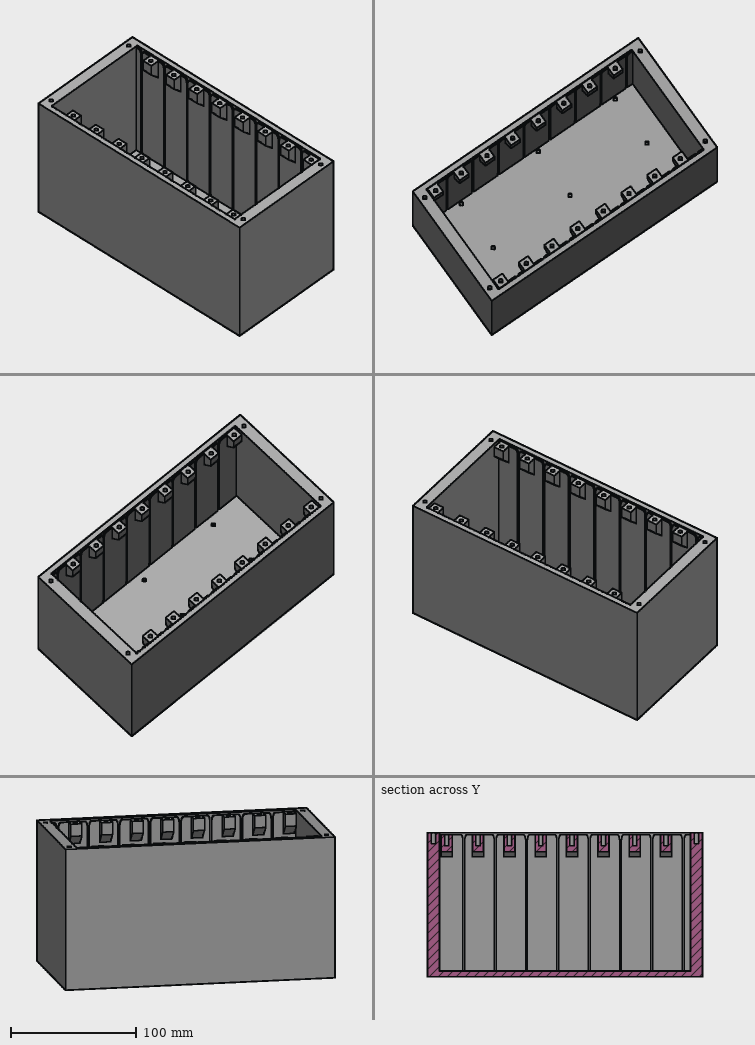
import cadquery as cq
LENGTH = 220.0
WIDTH = 110.0
HEIGHT = 115.3
END_WALL = 10.0
SIDE_WALL = 4.8
FLOOR = SIDE_WALL
CAVITY_LENGTH = LENGTH - 2 * END_WALL
CAVITY_WIDTH = WIDTH - 2 * SIDE_WALL

CARD_COUNT = 8
CARD_PITCH = CAVITY_LENGTH / CARD_COUNT
LID_RECESS = 1.5
GUIDE_TOP = HEIGHT - LID_RECESS
GUIDE_THICKNESS = 1.3
SLOT_WIDTH = 1.5
LEAD_IN_WIDTH = 2.0
LEAD_IN_HEIGHT = 4.5
FIRST_SLOT_X = 15.6

BOSS_WIDTH = 9.0
BOSS_REACH = 7.7
BOSS_FACE_HEIGHT = 10.0
FIRST_BOSS_X = 29.3

HOLE_DIAMETER = 3.0
LID_HOLE_DEPTH = 8.8
FLOOR_HOLE_DEPTH = 3.0
LID_HOLE_X = (LENGTH - END_WALL) / 2
LID_HOLE_Y = 45.3
FLOOR_HOLE_PITCH_X = 75.0
FLOOR_HOLE_PITCH_Y = 44.2
FLOOR_HOLE_CENTER = (-6.5, -2.5)


def card_positions(first_x):
    """X positions of a row of features repeating at the card pitch."""
    return [first_x + i * CARD_PITCH - LENGTH / 2 for i in range(CARD_COUNT)]


def make_box():
    box = cq.Workplane("XY").box(LENGTH, WIDTH, HEIGHT, centered=(True, True, False))
    cavity = (
        cq.Workplane("XY", origin=(0, 0, FLOOR))
        .box(CAVITY_LENGTH, CAVITY_WIDTH, HEIGHT, centered=(True, True, False))
    )
    return box.cut(cavity)


def make_card_slot(x):
    """Cutter for one card slot, opening at the top through two quarter ellipses."""
    half_slot = SLOT_WIDTH / 2
    lead_in_bottom = GUIDE_TOP - LEAD_IN_HEIGHT
    return (
        cq.Workplane("XZ", origin=(x, CAVITY_WIDTH / 2, 0))
        .moveTo(-half_slot, FLOOR)
        .lineTo(half_slot, FLOOR)
        .lineTo(half_slot, lead_in_bottom)
        .ellipseArc(LEAD_IN_WIDTH, LEAD_IN_HEIGHT, 90, 180, sense=-1)
        .lineTo(-half_slot - LEAD_IN_WIDTH, GUIDE_TOP)
        .ellipseArc(LEAD_IN_WIDTH, LEAD_IN_HEIGHT, 0, 90, sense=-1)
        .close()
        .extrude(GUIDE_THICKNESS)
    )


def make_guide():
    """Liner on the +Y wall, split by the card slots."""
    guide = (
        cq.Workplane("XY", origin=(0, (CAVITY_WIDTH - GUIDE_THICKNESS) / 2, FLOOR))
        .box(CAVITY_LENGTH, GUIDE_THICKNESS, GUIDE_TOP - FLOOR, centered=(True, True, False))
    )
    for x in card_positions(FIRST_SLOT_X):
        guide = guide.cut(make_card_slot(x))
    return guide


def make_boss(x):
    """Boss on the +Y wall, tapering back to the wall underneath."""
    guide_y = CAVITY_WIDTH / 2 - GUIDE_THICKNESS
    face_y = guide_y - BOSS_REACH
    face_bottom = GUIDE_TOP - BOSS_FACE_HEIGHT
    return (
        cq.Workplane("YZ", origin=(x - BOSS_WIDTH / 2, 0, 0))
        .moveTo(guide_y, GUIDE_TOP)
        .lineTo(face_y, GUIDE_TOP)
        .lineTo(face_y, face_bottom)
        .lineTo(guide_y, face_bottom - BOSS_REACH)
        .close()
        .extrude(BOSS_WIDTH)
    )


def make_holes(points, top, depth):
    """Cylinders for blind holes, reaching down from the given height."""
    return (
        cq.Workplane("XY", origin=(0, 0, top))
        .pushPoints(points)
        .circle(HOLE_DIAMETER / 2)
        .extrude(-depth)
    )


boss_xs = card_positions(FIRST_BOSS_X)
wall_fittings = make_guide()
for boss_x in boss_xs:
    wall_fittings = wall_fittings.union(make_boss(boss_x))

rim_points = [(sx * LID_HOLE_X, sy * LID_HOLE_Y) for sx in (-1, 1) for sy in (-1, 1)]
boss_points = [(x, sy * LID_HOLE_Y) for x in boss_xs for sy in (-1, 1)]
floor_points = [
    (FLOOR_HOLE_CENTER[0] + i * FLOOR_HOLE_PITCH_X, FLOOR_HOLE_CENTER[1] + j * FLOOR_HOLE_PITCH_Y)
    for i in (-1, 0, 1)
    for j in (-1, 0, 1)
]

result = (
    make_box()
    .union(wall_fittings)
    .union(wall_fittings.mirror("XZ"))
    .cut(make_holes(rim_points, HEIGHT, LID_HOLE_DEPTH))
    .cut(make_holes(boss_points, GUIDE_TOP, LID_HOLE_DEPTH))
    .cut(make_holes(floor_points, FLOOR, FLOOR_HOLE_DEPTH))
)